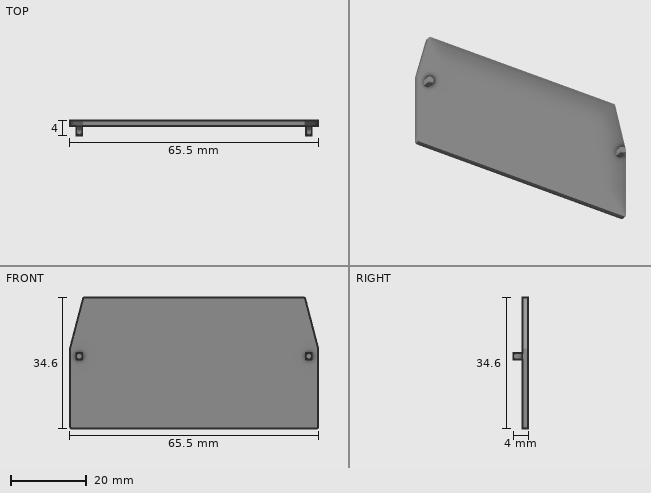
import cadquery as cq
import math

plate_width = 65.5
plate_height = 34.6
plate_thickness = 1.5
shoulder_height = 21.2
taper_inset = 3.5
corner_radius = 0.5

pin_width = 1.6
pin_height = 1.8
pin_length = 2.5
pin_corner_radius = 0.25
pin_tip_diameter = 1.7
pin_tip_chamfer_angle = 30
pin_spacing = 60.6
pin_centre_height = 19.1


def make_plate():
    """Panel with tapered upper sides and rounded upper and lower corners."""
    half_base = plate_width / 2
    half_top = half_base - taper_inset
    outline = [
        (-half_base, 0),
        (half_base, 0),
        (half_base, shoulder_height),
        (half_top, plate_height),
        (-half_top, plate_height),
        (-half_base, shoulder_height),
    ]
    panel = cq.Workplane("XZ").polyline(outline).close().extrude(-plate_thickness)
    lower_corners = panel.faces("<Z").edges("|Y")
    upper_corners = panel.faces(">Z").edges("|Y")
    return panel.newObject(lower_corners.vals() + upper_corners.vals()).fillet(corner_radius)


def make_pin(centre_x):
    """Rectangular pin with rounded long edges and a conical chamfer on its tip corners."""
    pin_base = cq.Workplane("XZ").center(centre_x, pin_centre_height)
    shaft = pin_base.rect(pin_width, pin_height).extrude(pin_length).edges("|Y").fillet(pin_corner_radius)
    cone_base_radius = pin_tip_diameter / 2 + pin_length * math.tan(math.radians(pin_tip_chamfer_angle))
    cone = pin_base.circle(cone_base_radius).extrude(pin_length, taper=pin_tip_chamfer_angle)
    return shaft.intersect(cone)


result = make_plate()
for side in (-1, 1):
    result = result.union(make_pin(side * pin_spacing / 2))